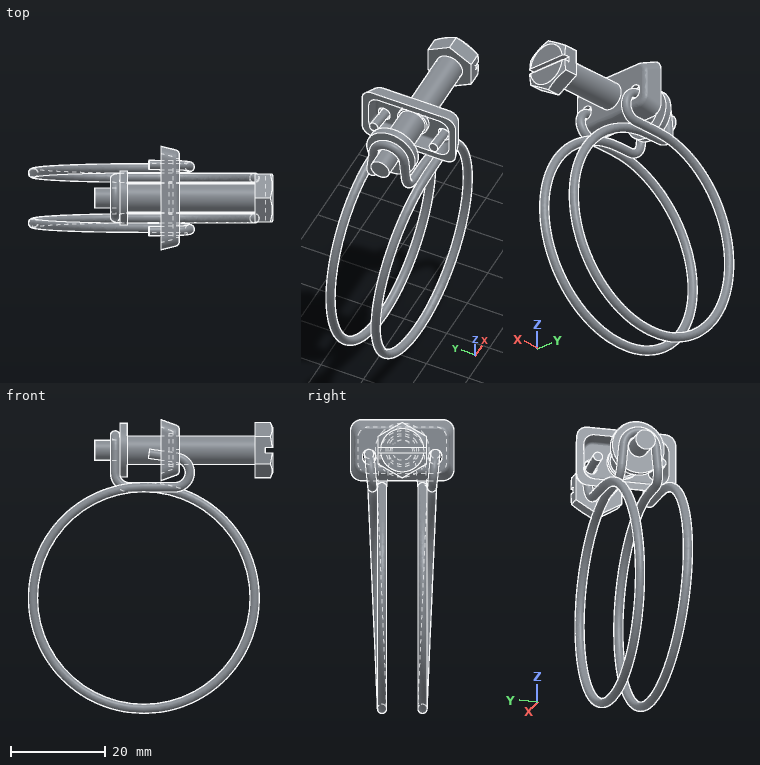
import cadquery as cq
import math


WIRE_D = 2.0
WIRE_R = WIRE_D / 2
RING_R = 23.5
INNER_Y = 4.3
STRAND_GAP = 0.02
OUTER_Y = INNER_Y + WIRE_D + STRAND_GAP

SCREW_Z = 31.35
TIP_D = 4.3
TIP_END_X = -10.43
SHANK_D = 6.1
COLLAR_D = 11.45
COLLAR_X = -5.1
COLLAR_T = 1.6
HEAD_END_X = 27.43
HEAD_T = 3.9
HEAD_SIDES = 6
HEAD_FLATS = 10.2
HEAD_CHAMFER_ANGLE = 25.0
HEAD_END_D = 9.2
SLOT_W = 1.1
SLOT_DEPTH = 1.65

PLATE_X = 3.63
PLATE_T = 3.9
PLATE_Y = 22.0
PLATE_Z = 13.0
RIM = 1.57
CORNER_R = 2.4
DRAFT_Y = 14.0
DRAFT_Z = 20.0
PLATE_EDGE_R = 1.0
RECESS_DEPTH = 2.6
RECESS_FILLET = 0.5
BOSS_D = 7.0
BOSS_H = 0.9
WIRE_HOLE_W = 2.7
WIRE_HOLE_TOP = 0.15
WIRE_HOLE_BOTTOM = -3.0

HOOK_X = 6.6
HOOK_R = 3.15
HOOK_RISE_ANGLE = 8.3
HOOK_END_X = 1.1
HOOK_END_Y = 7.03

LOOP_X = COLLAR_X - WIRE_R
LOOP_R = 3.6
LOOP_TOP_Z = SCREW_Z + TIP_D / 2 + WIRE_R
LOOP_BEND_R = 3.0


def hook_points(side):
    """Corner points of one hook: free end, bend end, bend middle, bend start."""
    rise = math.radians(HOOK_RISE_ANGLE)
    bend_end_x = HOOK_X + HOOK_R * math.sin(rise)
    bend_end_h = HOOK_R * (1 + math.cos(rise))
    end_h = bend_end_h + (bend_end_x - HOOK_END_X) * math.tan(rise)
    lean = math.asin((HOOK_END_Y - OUTER_Y) / end_h)

    def place(x, height):
        y = OUTER_Y + height * math.sin(lean)
        return cq.Vector(x, side * y, RING_R + height * math.cos(lean))

    return (
        place(HOOK_END_X, end_h),
        place(bend_end_x, bend_end_h),
        place(HOOK_X + HOOK_R, HOOK_R),
        place(HOOK_X, 0),
    )


def leg_points(side):
    """Points from an inner ring top to the loop over the tip: bend start, middle, end, loop start."""
    loop_z = LOOP_TOP_Z - LOOP_R
    dz = RING_R - loop_z
    distance = math.hypot(INNER_Y, dz)
    tangent = math.atan2(dz, INNER_Y) + math.acos(LOOP_R / distance)
    loop_start = cq.Vector(
        LOOP_X, side * LOOP_R * math.cos(tangent), loop_z + LOOP_R * math.sin(tangent)
    )
    corner = cq.Vector(LOOP_X, side * INNER_Y, RING_R)
    along = cq.Vector(1, 0, 0)
    up = (loop_start - corner).normalized()
    bend_start = corner + along * LOOP_BEND_R
    bend_end = corner + up * LOOP_BEND_R
    bend_middle = corner + (along + up) * (LOOP_BEND_R * (1 - math.sqrt(0.5)))
    return bend_start, bend_middle, bend_end, loop_start


def half_path(side):
    """Centreline edges of one side, from the free hook end to the loop over the tip."""
    hook_end, hook_top, hook_middle, hook_start = hook_points(side)
    bend_start, bend_middle, bend_end, loop_start = leg_points(side)
    outer_top = cq.Vector(0, side * OUTER_Y, RING_R)
    ring_left = cq.Vector(-RING_R, side * (OUTER_Y + INNER_Y) / 2, 0)
    ring_bottom = cq.Vector(0, side * INNER_Y, -RING_R)
    ring_right = cq.Vector(RING_R, side * INNER_Y, 0)
    inner_top = cq.Vector(0, side * INNER_Y, RING_R)
    return [
        cq.Edge.makeLine(hook_end, hook_top),
        cq.Edge.makeThreePointArc(hook_top, hook_middle, hook_start),
        cq.Edge.makeLine(hook_start, outer_top),
        cq.Edge.makeThreePointArc(outer_top, ring_left, ring_bottom),
        cq.Edge.makeThreePointArc(ring_bottom, ring_right, inner_top),
        cq.Edge.makeLine(inner_top, bend_start),
        cq.Edge.makeThreePointArc(bend_start, bend_middle, bend_end),
        cq.Edge.makeLine(bend_end, loop_start),
    ]


def make_wire():
    loop_top = cq.Vector(LOOP_X, 0, LOOP_TOP_Z)
    loop = cq.Edge.makeThreePointArc(leg_points(-1)[-1], loop_top, leg_points(1)[-1])
    path = cq.Wire.assembleEdges(half_path(-1) + [loop] + half_path(1))
    hook_end, hook_top = hook_points(-1)[:2]
    section = cq.Plane(origin=hook_end, normal=hook_top - hook_end)
    return cq.Workplane(section).circle(WIRE_R).sweep(cq.Workplane(path))


def across_screw(x):
    """Workplane square to the screw axis: local x is +Y, local y is +Z, extruding toward +X."""
    return cq.Workplane("YZ", origin=(x, 0, SCREW_Z))


def make_screw():
    head_x = HEAD_END_X - HEAD_T
    tip = across_screw(TIP_END_X).circle(TIP_D / 2).extrude(COLLAR_X - TIP_END_X)
    collar = across_screw(COLLAR_X).circle(COLLAR_D / 2).extrude(COLLAR_T)
    shank = across_screw(COLLAR_X).circle(SHANK_D / 2).extrude(head_x - COLLAR_X)
    return tip.union(collar).union(shank).union(make_head(head_x))


def make_head(head_x):
    corners_d = HEAD_FLATS / math.cos(math.pi / HEAD_SIDES)
    upright = across_screw(head_x).transformed(rotate=(0, 0, 90))
    head = upright.polygon(HEAD_SIDES, corners_d).extrude(HEAD_T)
    drop = (corners_d - HEAD_END_D) / 2 * math.tan(math.radians(HEAD_CHAMFER_ANGLE))
    blank = (
        cq.Workplane("XY", origin=(0, 0, SCREW_Z))
        .moveTo(head_x, 0)
        .lineTo(head_x, corners_d / 2)
        .lineTo(HEAD_END_X - drop, corners_d / 2)
        .lineTo(HEAD_END_X, HEAD_END_D / 2)
        .lineTo(HEAD_END_X, 0)
        .close()
        .revolve(360, (0, 0, 0), (1, 0, 0))
    )
    slot = across_screw(HEAD_END_X).rect(corners_d, SLOT_W).extrude(-SLOT_DEPTH)
    return head.intersect(blank).cut(slot)


def drafted_block(width, height, depth):
    """Rounded block from the open plate face toward +X, narrowing by the wall drafts."""
    end_width = width - 2 * depth * math.tan(math.radians(DRAFT_Y))
    end_height = height - 2 * depth * math.tan(math.radians(DRAFT_Z))
    start = cq.Sketch().rect(width, height).vertices().fillet(CORNER_R)
    end = cq.Sketch().rect(end_width, end_height).vertices().fillet(CORNER_R)
    end = end.moved(cq.Location(cq.Vector(0, 0, depth)))
    return across_screw(PLATE_X).placeSketch(start, end).loft()


def make_plate():
    floor_x = PLATE_X + RECESS_DEPTH
    floor_t = PLATE_T - RECESS_DEPTH
    shell = drafted_block(PLATE_Y, PLATE_Z, PLATE_T).faces(">X").edges().fillet(PLATE_EDGE_R)
    recess = drafted_block(PLATE_Y - 2 * RIM, PLATE_Z - 2 * RIM, RECESS_DEPTH)
    recess = recess.faces(">X").edges().fillet(RECESS_FILLET)
    boss = across_screw(floor_x).circle(BOSS_D / 2).extrude(-BOSS_H)
    screw_hole = across_screw(PLATE_X).circle(SHANK_D / 2).extrude(PLATE_T)
    hole_z = (WIRE_HOLE_TOP + WIRE_HOLE_BOTTOM) / 2
    wire_holes = (
        across_screw(floor_x)
        .pushPoints([(side * HOOK_END_Y, hole_z) for side in (-1, 1)])
        .slot2D(WIRE_HOLE_TOP - WIRE_HOLE_BOTTOM, WIRE_HOLE_W, 90)
        .extrude(floor_t)
    )
    return shell.cut(recess).union(boss).cut(screw_hole).cut(wire_holes)


wire = make_wire()
screw = make_screw()
plate = make_plate()

result = cq.Compound.makeCompound([wire.solids().val(), screw.solids().val(), plate.solids().val()])